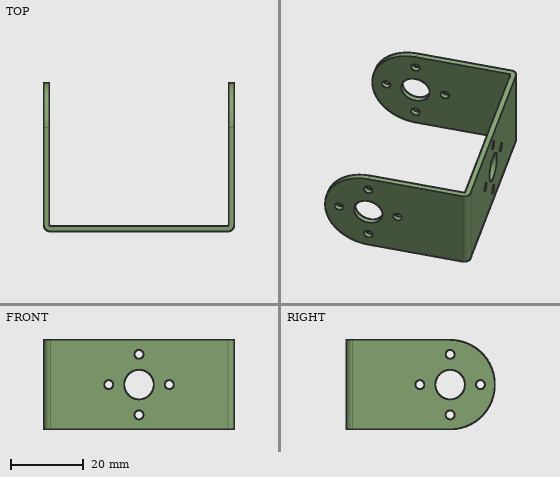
import cadquery as cq

width = 52.25
depth = 40.85
height = 24.6

thickness = 1.55
inner_bend_radius = 0.2
outer_bend_radius = inner_bend_radius + thickness

center_hole_diameter = 8.05
screw_hole_diameter = 2.4
screw_circle_radius = 8.3

arm_end_radius = height / 2
arm_hole_y = depth - arm_end_radius


def bent_sheet():
    """U-shaped sheet, web on the XZ plane, arms along +Y, centred on Z = 0."""
    outer = (
        cq.Workplane("XY")
        .box(width, depth, height, centered=(True, False, True))
        .edges("|Z and <Y")
        .fillet(outer_bend_radius)
    )
    inner = (
        cq.Workplane("XY")
        .box(width - 2 * thickness, depth, height, centered=(True, False, True))
        .edges("|Z and <Y")
        .fillet(inner_bend_radius)
        .translate((0, thickness, 0))
    )
    return outer.cut(inner)


def arm_side_profile():
    """Side outline with rounded arm ends, extruded across the full width."""
    return (
        cq.Workplane("YZ")
        .moveTo(0, -height / 2)
        .lineTo(arm_hole_y, -height / 2)
        .threePointArc((depth, 0), (arm_hole_y, height / 2))
        .lineTo(0, height / 2)
        .close()
        .extrude(width / 2, both=True)
    )


def hole_pattern(plane):
    """Sketch a large hole with four screw holes around it, on the given workplane."""
    center_hole = plane.circle(center_hole_diameter / 2)
    return center_hole.polarArray(screw_circle_radius, 0, 360, 4).circle(screw_hole_diameter / 2)


web_holes = hole_pattern(cq.Workplane("XZ")).extrude(-outer_bend_radius)
arm_holes = hole_pattern(cq.Workplane("YZ", origin=(0, arm_hole_y, 0))).extrude(width / 2, both=True)

result = bent_sheet().intersect(arm_side_profile()).cut(web_holes).cut(arm_holes)